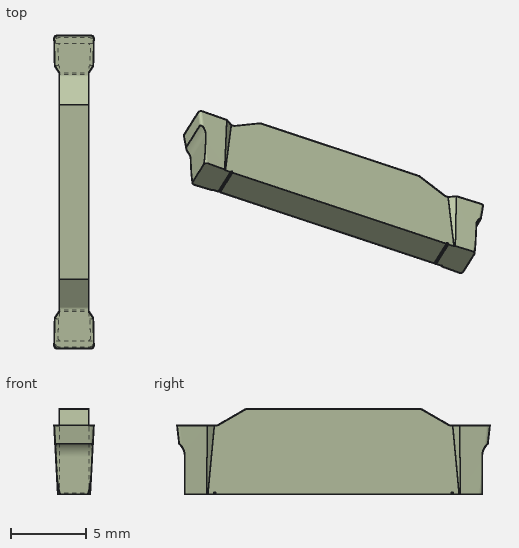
import cadquery as cq
import math

half_length = 10.4
body_half_width = 0.988
body_height = 5.68
ridge_half_length = 5.8
ramp_angle = 30.0
ramp_foot_radius = 0.27

head_height = 4.58
head_front_half_width = 1.33
head_back_half_width = 1.3
side_draft = 0.25
corner_radius = 0.2
head_side_end = half_length - 2.02
neck_lean = 0.05
neck_slope = 1.55

relief_wall = 9.88
relief_bottom = 2.52
relief_top = 3.37
groove_center = 7.89
groove_size = 0.1

tool_margin = 0.42


def make_body():
    ramp_run = (body_height - head_height) / math.tan(math.radians(ramp_angle))
    ramp_foot = ridge_half_length + ramp_run
    profile = [
        (-relief_wall, 0),
        (relief_wall, 0),
        (relief_wall, head_height),
        (ramp_foot, head_height),
        (ridge_half_length, body_height),
        (-ridge_half_length, body_height),
        (-ramp_foot, head_height),
        (-relief_wall, head_height),
    ]
    body = cq.Workplane("YZ").polyline(profile).close().extrude(body_half_width, both=True)
    for foot_y in (-ramp_foot, ramp_foot):
        foot_edge = cq.selectors.NearestToPointSelector((0, foot_y, head_height))
        body = body.edges(foot_edge).fillet(ramp_foot_radius)
    keep = cq.Workplane("XY").box(
        2 * body_half_width, 2 * head_side_end, body_height, centered=(True, True, False)
    )
    return body.intersect(keep)


def head_section(z, front_y, draft, side_end):
    """Horizontal head outline with rounded front corners and a bevelled neck."""
    front_half = head_front_half_width - draft
    back_half = head_back_half_width - draft
    neck_end = side_end - (back_half - body_half_width) * neck_slope
    corner_start = front_y - corner_radius
    corner_side = front_half - corner_radius
    diagonal = corner_radius * math.sqrt(0.5)
    return (
        cq.Workplane("XY", origin=(0, 0, z))
        .moveTo(-body_half_width, neck_end)
        .lineTo(body_half_width, neck_end)
        .lineTo(back_half, side_end)
        .lineTo(front_half, corner_start)
        .threePointArc((corner_side + diagonal, corner_start + diagonal), (corner_side, front_y))
        .lineTo(-corner_side, front_y)
        .threePointArc((-corner_side - diagonal, corner_start + diagonal), (-front_half, corner_start))
        .lineTo(-back_half, side_end)
        .close()
        .wire()
        .val()
    )


def make_relief():
    """Cutter for the upright wall and the concave run-out below the flank."""
    flank_y = relief_wall + (half_length - relief_wall) * relief_top / head_height
    depth = flank_y - relief_wall
    rise = relief_top - relief_bottom
    radius = (depth**2 + rise**2) / (2 * depth)
    half_sweep = math.asin(rise / radius) / 2
    arc_middle = (
        relief_wall + radius * (1 - math.cos(half_sweep)),
        relief_bottom + radius * math.sin(half_sweep),
    )
    outer_y = half_length + tool_margin
    return (
        cq.Workplane("YZ")
        .moveTo(relief_wall, -tool_margin)
        .lineTo(relief_wall, relief_bottom)
        .threePointArc(arc_middle, (flank_y, relief_top))
        .lineTo(outer_y, relief_top)
        .lineTo(outer_y, -tool_margin)
        .close()
        .extrude(head_front_half_width + tool_margin, both=True)
    )


def make_head():
    bottom = head_section(0, relief_wall, side_draft, head_side_end + neck_lean)
    top = head_section(head_height, half_length, 0, head_side_end)
    head = cq.Workplane(cq.Solid.makeLoft([bottom, top], True))
    return head.cut(make_relief())


def make_grooves():
    return (
        cq.Workplane("XY")
        .pushPoints([(0, -groove_center), (0, groove_center)])
        .rect(2 * (body_half_width + tool_margin), groove_size)
        .extrude(groove_size)
    )


head = make_head()
result = make_body().union(head).union(head.mirror("XZ"))
result = result.cut(make_grooves())